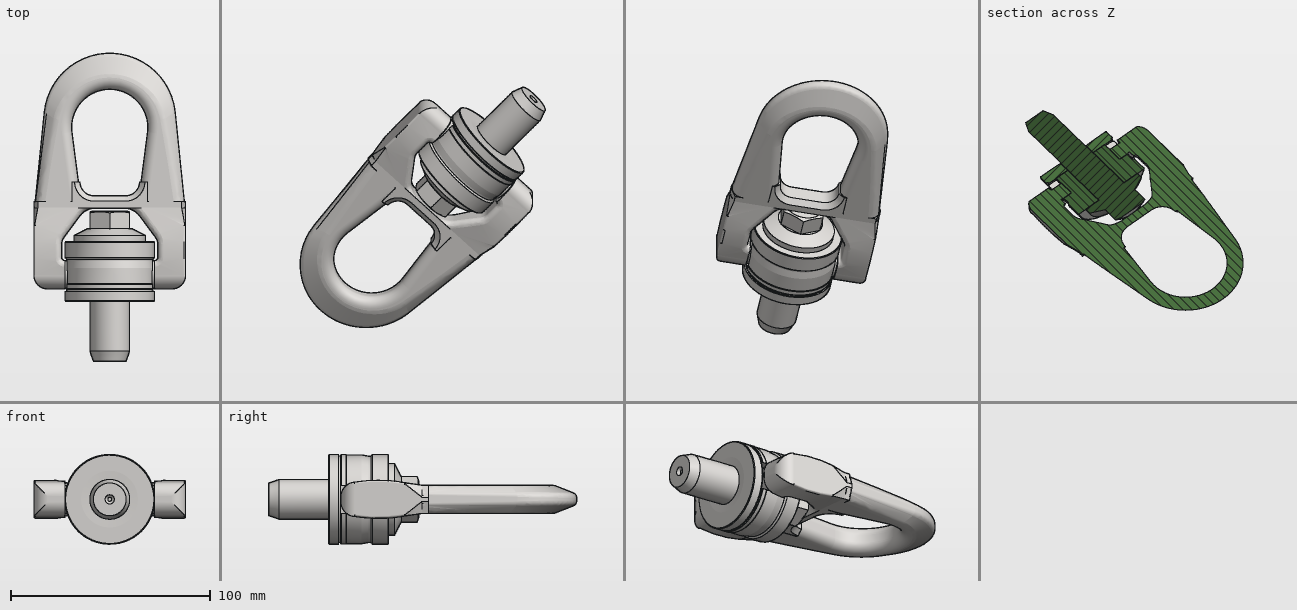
import cadquery as cq
import math


swivel_dia = 45.0
edge_break = 0.4

base_thickness = 5.0
land_height = 1.0
land_dia = 43.4
dish_dia = 28.4
dish_depth = 0.2

body_bottom = base_thickness + land_height
band_top = 9.0
band_chamfer = 0.4
barrel_dia = 44.6
waist_bottom = 16.6
waist_top = 20.2
waist_dia = 43.2
cap_bottom = 22.0
body_top = 30.0

shank_dia = 20.0
shank_length = 30.0
tip_length = 5.2
tip_dia = 16.4
center_hole_dia = 2.0
center_hole_depth = 5.0
center_sink_dia = 4.6
washer_face_dia = 36.0
washer_face_height = 3.0
head_cone_dia = 22.6
hex_start = 36.4
hex_across_flats = 19.85
hex_top = 45.2
hex_chamfer_height = 0.9
hex_top_dia = 18.0

trunnion_dia = 14.0
trunnion_y = 13.5
trunnion_inner_x = 16.0

bow_half_thickness = 7.1
rim_half_thickness = 2.6
rim_round = 3.0
bow_top = 124.25
bow_radius = 33.0
crown_top = 112.8
crown_radius = 27.5
shoulder_y = 46.8
bow_foot_half_width = 37.7
crown_foot_half_width = 36.0
eye_top = 106.1
eye_radius = 19.0
eye_foot_half_width = 13.9
eye_round = 5.0

bar_top = 52.9
bar_half_width = 19.0
bar_chamfer = 2.7
eye_corner_radius = 7.0

yoke_half_width = 38.0
block_top = 50.0
shoulder_crease_x = 18.7
shoulder_edge_half_thickness = 1.0
leg_top = 38.0
leg_inner_x = 22.4
leg_root_x = 18.0
leg_bottom = 6.2
leg_bottom_half_flat = 1.6
leg_top_half_thickness = 8.4
leg_bulge_y = 28.0
leg_bulge_half_thickness = 9.5
leg_round_half_thickness = 8.6
leg_round_mid_y = 8.4
leg_round_mid_half_thickness = 6.6
leg_corner_radius = 7.0
leg_round_start = leg_bottom + leg_corner_radius
side_round = 0.9

opening_top = 46.6
opening_top_half_width = 12.1
opening_half_width = 24.0
opening_knee_y = 30.5
opening_floor = 20.5
opening_top_radius = 9.6
opening_knee_radius = 6.0
opening_floor_radius = 1.5
opening_round = 2.9

pick = 1.0
fine_pick = 0.1


def box_pick(half_x, low_y, high_y, half_z):
    """Selector for the edges centred in a box that is symmetric in X and Z."""
    return cq.selectors.BoxSelector((-half_x, low_y, -half_z), (half_x, high_y, half_z))


def turned(profile):
    """Solid of revolution about the bolt axis from (radius, y) points."""
    return cq.Workplane("XY").polyline(profile).close().revolve(360, (0, 0, 0), (0, 1, 0))


def tangent_point(center_y, radius, foot_x, foot_y):
    """Point where a line from the foot touches the right side of a circle centred on x = 0."""
    distance = math.hypot(foot_x, foot_y - center_y)
    angle = math.atan2(foot_y - center_y, foot_x) + math.acos(radius / distance)
    return radius * math.cos(angle), center_y + radius * math.sin(angle)


def arch(z, top_y, radius, foot_x, foot_y):
    """Closed arch outline: a round top with a tangent line down to a foot on each side."""
    touch_x, touch_y = tangent_point(top_y - radius, radius, foot_x, foot_y)
    return (
        cq.Workplane("XY", origin=(0, 0, z))
        .moveTo(foot_x, foot_y)
        .lineTo(touch_x, touch_y)
        .threePointArc((0, top_y), (-touch_x, touch_y))
        .lineTo(-foot_x, foot_y)
        .close()
    )


def trunnion(side, outer_x):
    """Round pin along X, from its inner end to outer_x on one side."""
    return (
        cq.Workplane("YZ", origin=(side * trunnion_inner_x, trunnion_y, 0))
        .circle(trunnion_dia / 2)
        .extrude(side * (outer_x - trunnion_inner_x))
    )


def make_base_washer():
    seat_radius = swivel_dia / 2
    return turned([
        (shank_dia / 2, dish_depth),
        (dish_dia / 2, 0),
        (seat_radius - edge_break, 0),
        (seat_radius, edge_break),
        (seat_radius, base_thickness),
        (land_dia / 2, base_thickness),
        (land_dia / 2, body_bottom),
        (shank_dia / 2, body_bottom),
    ])


def make_swivel_body():
    radius = swivel_dia / 2
    body = turned([
        (shank_dia / 2, body_bottom),
        (radius - edge_break, body_bottom),
        (radius, body_bottom + edge_break),
        (radius, band_top - band_chamfer),
        (barrel_dia / 2, band_top),
        (barrel_dia / 2, waist_bottom),
        (waist_dia / 2, waist_top),
        (waist_dia / 2, (waist_top + cap_bottom) / 2),
        (radius, cap_bottom),
        (radius, body_top - edge_break),
        (radius - edge_break, body_top),
        (shank_dia / 2, body_top),
    ])
    slot_length = radius - trunnion_inner_x
    slot_height = trunnion_y - body_bottom
    for side in (-1, 1):
        slot_x = side * (trunnion_inner_x + slot_length / 2)
        slot = cq.Workplane("XY").box(slot_length, slot_height, trunnion_dia)
        body = body.cut(slot.translate((slot_x, body_bottom + slot_height / 2, 0)))
        body = body.cut(trunnion(side, radius))
    return body


def make_bolt():
    tip_y = -shank_length
    sink_radius = center_sink_dia / 2
    hole_radius = center_hole_dia / 2
    turned_part = turned([
        (0, tip_y + center_hole_depth),
        (hole_radius, tip_y + center_hole_depth),
        (hole_radius, tip_y + sink_radius - hole_radius),
        (sink_radius, tip_y),
        (tip_dia / 2, tip_y),
        (shank_dia / 2, tip_y + tip_length),
        (shank_dia / 2, body_top),
        (washer_face_dia / 2, body_top),
        (washer_face_dia / 2, body_top + washer_face_height),
        (head_cone_dia / 2, hex_start),
        (0, hex_start),
    ])
    hex_corner_dia = hex_across_flats / math.cos(math.pi / 6)
    hexagon = (
        cq.Workplane("XZ", origin=(0, body_top, 0))
        .transformed(rotate=(0, 0, 30))
        .polygon(6, hex_corner_dia)
        .extrude(body_top - hex_top)
    )
    corner_radius = hex_corner_dia / 2
    hex_limit = turned([
        (0, body_top),
        (corner_radius, body_top),
        (corner_radius, hex_top - hex_chamfer_height),
        (hex_top_dia / 2, hex_top),
        (0, hex_top),
    ])
    return turned_part.union(hexagon.intersect(hex_limit))


def make_bow():
    """Arched bow: a rim band, a bevelled crown on both faces and an eye with rounded edges."""
    rim = arch(-rim_half_thickness, bow_top, bow_radius, bow_foot_half_width, shoulder_y)
    bow = rim.extrude(2 * rim_half_thickness)
    for side in (-1, 1):
        outer = arch(side * rim_half_thickness, bow_top, bow_radius, bow_foot_half_width, shoulder_y)
        crown = arch(side * bow_half_thickness, crown_top, crown_radius, crown_foot_half_width, shoulder_y)
        bevel = cq.Solid.makeLoft([outer.wire().val(), crown.wire().val()], True)
        bow = bow.union(cq.Workplane(bevel))
    eye = arch(-bow_half_thickness, eye_top, eye_radius, eye_foot_half_width, shoulder_y)
    bow = bow.cut(eye.extrude(2 * bow_half_thickness))
    eye_edges = box_pick(eye_radius + pick, shoulder_y + pick, eye_top + pick, bow_half_thickness + pick)
    bow = bow.faces("<Z or >Z").edges(eye_edges).fillet(eye_round)
    rim_edges = box_pick(yoke_half_width, shoulder_y + pick, bow_top + pick, rim_half_thickness + fine_pick)
    not_upright = cq.selectors.StringSyntaxSelector("not |Z")
    outside_eye = cq.selectors.SubtractSelector(not_upright, eye_edges)
    return bow.edges(rim_edges).edges(outside_eye).fillet(rim_round)


def make_bar():
    """Cross bar that closes the eye, with a round corner at each side of the eye."""
    rise = eye_corner_radius
    lean = (eye_radius - eye_foot_half_width) / (eye_top - eye_radius - bar_top)
    corner_x = eye_foot_half_width + rise * lean
    bar = (
        cq.Workplane("XY", origin=(0, 0, -bow_half_thickness))
        .moveTo(-bar_half_width, shoulder_y - 1)
        .lineTo(bar_half_width, shoulder_y - 1)
        .lineTo(bar_half_width, bar_top + rise)
        .lineTo(corner_x, bar_top + rise)
        .lineTo(eye_foot_half_width, bar_top)
        .lineTo(-eye_foot_half_width, bar_top)
        .lineTo(-corner_x, bar_top + rise)
        .lineTo(-bar_half_width, bar_top + rise)
        .close()
        .extrude(2 * bow_half_thickness)
    )
    corners = box_pick(eye_foot_half_width + pick, bar_top - pick, bar_top + pick, pick)
    bar = bar.edges("|Z").edges(corners).fillet(eye_corner_radius)
    eye_rim = box_pick(bar_half_width - pick, bar_top - pick, bar_top + rise - pick, yoke_half_width)
    return bar.faces("<Z or >Z").edges(eye_rim).chamfer(bar_chamfer)


def yoke_section(y, quarter_points):
    """Closed section across the yoke, mirrored left to right and top to bottom."""
    right = quarter_points + [(x, -z) for x, z in reversed(quarter_points)]
    left = [(-x, z) for x, z in reversed(right)]
    return cq.Workplane("XZ", origin=(0, y, 0)).polyline(right + left).close()


def make_shoulder():
    """Block that widens from the bow section to the thicker legs."""
    shoulder_points = [
        (shoulder_crease_x, bow_half_thickness),
        (crown_foot_half_width, bow_half_thickness),
        (yoke_half_width, shoulder_edge_half_thickness),
    ]
    leg_points = [
        (yoke_half_width - 0.8, leg_top_half_thickness),
        (yoke_half_width - 0.4, leg_top_half_thickness - 0.2),
        (yoke_half_width, leg_top_half_thickness - 0.5),
    ]
    upper = yoke_section(shoulder_y, shoulder_points)
    lower = yoke_section(leg_top, leg_points)
    block = yoke_section(block_top, shoulder_points).extrude(block_top - shoulder_y)
    transition = cq.Solid.makeLoft([upper.wire().val(), lower.wire().val()], True)
    return block.union(cq.Workplane(transition))


def make_leg(side):
    """Bulging leg with a round lower end, on the side given by the sign."""
    bulge = (leg_bulge_y, leg_bulge_half_thickness)
    round_mid = (leg_round_mid_y, leg_round_mid_half_thickness)
    leg = (
        cq.Workplane("YZ", origin=(side * leg_root_x, 0, 0))
        .moveTo(leg_top, leg_top_half_thickness)
        .threePointArc(bulge, (leg_round_start, leg_round_half_thickness))
        .threePointArc(round_mid, (leg_bottom, leg_bottom_half_flat))
        .lineTo(leg_bottom, -leg_bottom_half_flat)
        .threePointArc((round_mid[0], -round_mid[1]), (leg_round_start, -leg_round_half_thickness))
        .threePointArc((bulge[0], -bulge[1]), (leg_top, -leg_top_half_thickness))
        .close()
        .extrude(side * (yoke_half_width - leg_root_x))
    )
    corner_limit = (
        cq.Workplane("XY")
        .rect(2 * yoke_half_width, 2 * (leg_top - leg_bottom))
        .extrude(yoke_half_width, both=True)
        .translate((0, leg_top, 0))
        .edges("|Z")
        .fillet(leg_corner_radius)
    )
    leg = leg.intersect(corner_limit)
    outer_face = leg.faces(">X" if side > 0 else "<X")
    return outer_face.edges("not |Z").fillet(side_round)


def make_opening():
    """Opening around the bolt head, narrowing to the gap between the leg faces below it."""
    opening = (
        cq.Workplane("XY", origin=(0, 0, -yoke_half_width))
        .moveTo(-opening_top_half_width, opening_top)
        .lineTo(opening_top_half_width, opening_top)
        .lineTo(opening_half_width, opening_knee_y)
        .lineTo(opening_half_width, opening_floor)
        .lineTo(leg_inner_x, opening_floor)
        .lineTo(leg_inner_x, 0)
        .lineTo(-leg_inner_x, 0)
        .lineTo(-leg_inner_x, opening_floor)
        .lineTo(-opening_half_width, opening_floor)
        .lineTo(-opening_half_width, opening_knee_y)
        .close()
        .extrude(2 * yoke_half_width)
    )
    reach = opening_half_width + pick
    top_corners = box_pick(reach, opening_top - pick, opening_top + pick, pick)
    opening = opening.edges("|Z").edges(top_corners).fillet(opening_top_radius)
    knees = box_pick(reach, opening_knee_y - pick, opening_knee_y + pick, pick)
    opening = opening.edges("|Z").edges(knees).fillet(opening_knee_radius)
    upright = cq.selectors.StringSyntaxSelector("|Z")
    floor_corners = box_pick(reach, opening_floor - pick, opening_floor + pick, pick)
    gap_corners = box_pick(leg_inner_x + fine_pick, 0, opening_top, pick)
    outer_corners = cq.selectors.SubtractSelector(upright, gap_corners)
    return opening.edges(floor_corners).edges(outer_corners).fillet(opening_floor_radius)


def make_shackle():
    legs = make_leg(1).union(make_leg(-1))
    shackle = make_shoulder().union(legs).union(make_bow()).union(make_bar())
    shackle = shackle.cut(make_opening())
    opening_edges = box_pick(
        opening_half_width + fine_pick, opening_floor - pick, opening_top + fine_pick, yoke_half_width
    )
    shackle = shackle.edges("not |Z").edges(opening_edges).fillet(opening_round)
    for side in (-1, 1):
        shackle = shackle.union(trunnion(side, leg_inner_x))
    return shackle


base_washer = make_base_washer()
swivel_body = make_swivel_body()
bolt = make_bolt()
shackle = make_shackle()

result = cq.Compound.makeCompound([
    base_washer.val(),
    swivel_body.val(),
    bolt.val(),
    shackle.val(),
])